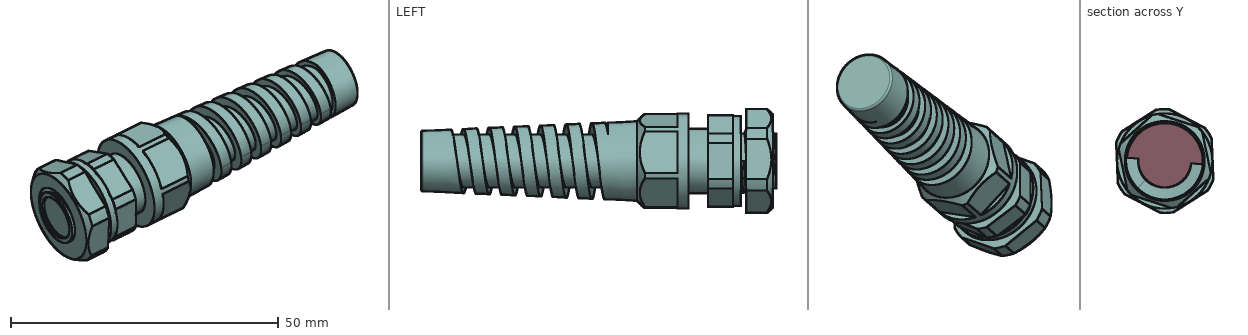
import cadquery as cq
import math


total_length = 66.5
nut_start = 0.65
nut_end = 5.65
flange_start = 6.65
flange_end = 8.1
body_hex_end = 12.85
cap_start = 16.4
cap_hex_start = 18.55
cap_hex_end = 26.1
groove_start = 31.5
groove_end = 61.0

thread_core_diameter = 10.3
thread_crest_diameter = 12.0
thread_turns = 4
thread_length = 6.0
thread_pitch = thread_length / thread_turns
thread_root_width = 1.05
thread_crest_width = 0.2
thread_burial = 0.1
thread_first_crest = 0.63
thread_runout_radius = 3.0
recess_diameter = 8.5
recess_floor_diameter = 8.25
recess_depth = 0.4

nut_corner_diameter = 19.5
nut_across_flats = 17.95
nut_face_diameter = 17.4
nut_chamfer_height = 1.05
nut_turn = 2.4

flange_diameter = 16.9
body_corner_diameter = 17.15
body_across_flats = 15.75
neck_diameter = 12.1

cap_diameter = 17.8
cap_across_flats = 15.95
cap_turn = 12.0

sleeve_base_diameter = 14.95
sleeve_tip_diameter = 11.4
sleeve_core_diameter = 10.0
tip_fillet = 0.4
groove_full_turns = 6
groove_full_turns_length = 28.85
groove_pitch = groove_full_turns_length / groove_full_turns
groove_width = 2.4
groove_first_center = 32.1


def cylinder(diameter, start, end):
    return cq.Workplane("XY").workplane(offset=start).circle(diameter / 2).extrude(end - start)


def cone(start_diameter, end_diameter, start, end):
    outline = [(0, start), (start_diameter / 2, start), (end_diameter / 2, end), (0, end)]
    return cq.Workplane("XZ").polyline(outline).close().revolve(360, (0, 0, 0), (0, 1, 0))


def hexagon(across_flats, start, end, turn):
    """Hexagonal prism with a corner on the Y axis, turned about the main axis by `turn` degrees."""
    corner_to_corner = across_flats / math.cos(math.radians(30))
    prism = cq.Workplane("XY").workplane(offset=start).polygon(6, corner_to_corner).extrude(end - start)
    return prism.rotate((0, 0, 0), (0, 0, 1), 90 + turn)


def helical_bar(profile, radius, pitch, start, turns):
    """Sweep a closed (radius, height) profile along a right-handed helix beginning on the +X side."""
    helix = cq.Workplane(cq.Wire.makeHelix(pitch, pitch * turns, radius).translate(cq.Vector(0, 0, start)))
    section = cq.Workplane("XZ").polyline([(r, start + height) for r, height in profile]).close()
    return section.sweep(helix, isFrenet=True)


def make_entry_thread():
    core_end = (flange_start + flange_end) / 2
    core = cylinder(thread_core_diameter, 0, core_end)
    core_radius = thread_core_diameter / 2
    crest_radius = thread_crest_diameter / 2
    flank_slope = (thread_root_width - thread_crest_width) / 2 / (crest_radius - core_radius)
    buried_radius = core_radius - thread_burial
    buried_half_width = thread_root_width / 2 + thread_burial * flank_slope
    crest_half_width = thread_crest_width / 2
    ridge_profile = [
        (buried_radius, -buried_half_width),
        (crest_radius, -crest_half_width),
        (crest_radius, crest_half_width),
        (buried_radius, buried_half_width),
    ]
    ridge = helical_bar(ridge_profile, core_radius, thread_pitch, thread_first_crest, thread_turns)
    runout_section = [(radius, thread_first_crest + height) for radius, height in ridge_profile]
    runout_axis = crest_radius - thread_runout_radius
    runout = cq.Workplane("XZ").polyline(runout_section).close()
    runout = runout.revolve(90, (runout_axis, 0, 0), (runout_axis, -1, 0))
    ridge = ridge.union(runout)
    return core.union(ridge.rotate((0, 0, 0), (0, 0, 1), 180))


def make_locknut():
    chamfer_top = nut_start + nut_chamfer_height
    envelope = cone(nut_face_diameter, nut_corner_diameter, nut_start, chamfer_top)
    envelope = envelope.union(cylinder(nut_corner_diameter, chamfer_top, nut_end))
    return hexagon(nut_across_flats, nut_start, nut_end, nut_turn).intersect(envelope)


def make_body():
    flange = cylinder(flange_diameter, flange_start, flange_end)
    grip = hexagon(body_across_flats, flange_end, body_hex_end, 0)
    grip = grip.intersect(cylinder(body_corner_diameter, flange_end, body_hex_end))
    neck = cylinder(neck_diameter, body_hex_end, cap_start)
    return flange.union(grip).union(neck)


def make_cap():
    collar = cylinder(cap_diameter, cap_start, cap_hex_start)
    chamfer_start = cap_hex_end - (cap_diameter - sleeve_base_diameter) / 2
    envelope = cylinder(cap_diameter, cap_hex_start, chamfer_start)
    envelope = envelope.union(cone(cap_diameter, sleeve_base_diameter, chamfer_start, cap_hex_end))
    grip = hexagon(cap_across_flats, cap_hex_start, cap_hex_end, cap_turn).intersect(envelope)
    return collar.union(grip)


def make_sleeve():
    sleeve = cone(sleeve_base_diameter, sleeve_tip_diameter, cap_hex_end, total_length)
    sleeve = sleeve.faces(">Z").edges().fillet(tip_fillet)
    core_radius = sleeve_core_diameter / 2
    clear_radius = sleeve_base_diameter / 2 + 0.65
    groove_profile = [
        (core_radius, -groove_width / 2),
        (clear_radius, -groove_width / 2),
        (clear_radius, groove_width / 2),
        (core_radius, groove_width / 2),
    ]
    groove_turns = math.ceil((groove_end - groove_start) / groove_pitch) + 1
    first_turn = groove_first_center - groove_pitch
    groove = helical_bar(groove_profile, core_radius, groove_pitch, first_turn, groove_turns)
    groove = groove.intersect(cylinder(3 * clear_radius, groove_start, groove_end))
    return sleeve.cut(groove)


gland = make_entry_thread()
for component in (make_locknut(), make_body(), make_cap(), make_sleeve()):
    gland = gland.union(component)
gland = gland.cut(cone(recess_diameter, recess_floor_diameter, 0, recess_depth))

result = gland.rotate((0, 0, 0), (1, 0, 0), -90)